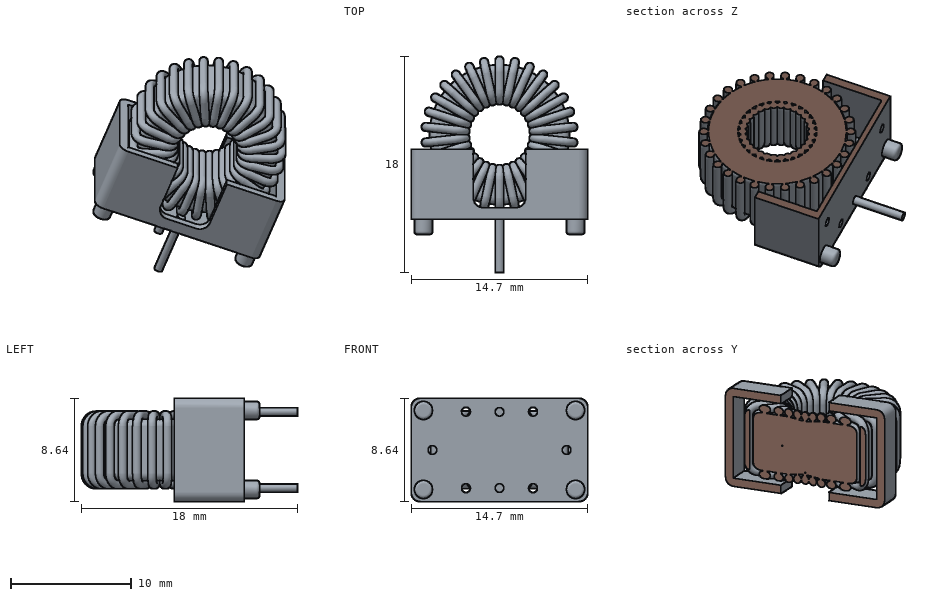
import cadquery as cq
import math

HEADER_WIDTH = 14.732
HEADER_DEPTH = 5.842
HEADER_HEIGHT = 8.636
WALL = 0.762
FLOOR = 0.508
CORNER_RADIUS = 0.762

WINDOW_WIDTH = 4.4
WINDOW_BOTTOM = 0.965
WINDOW_RADIUS = 0.889

FOOT_DIAMETER = 1.524
FOOT_LENGTH = 1.27
FOOT_FILLET = 0.254
FOOT_X = 6.335
FOOT_Z = 3.29

WIRE_DIAMETER = 0.724
PIN_LENGTH = 4.445
PIN_Z = 3.175
SIDE_HOLE_X = 5.588
CORNER_HOLE_X = SIDE_HOLE_X / 2

TURNS = 30
COIL_OUTER_RADIUS = 6.54
COIL_INNER_RADIUS = 2.48
COIL_HALF_HEIGHT = 3.25
BEND_OUTER_RADIUS = 1.27
COIL_CENTER_Y = FLOOR + COIL_OUTER_RADIUS

CORE_BITE = 0.02

WIRE_RADIUS = WIRE_DIAMETER / 2
BEND_RADIUS = BEND_OUTER_RADIUS - WIRE_RADIUS
CORE_GAP = WIRE_DIAMETER - CORE_BITE
CORE_OUTER_RADIUS = COIL_OUTER_RADIUS - CORE_GAP
CORE_INNER_RADIUS = COIL_INNER_RADIUS + CORE_GAP
CORE_HEIGHT = 2 * (COIL_HALF_HEIGHT - CORE_GAP)
CORE_FILLET = BEND_OUTER_RADIUS - CORE_GAP


def rod(x, z, diameter, y_start, y_end):
    """Round bar parallel to Y."""
    base = cq.Plane(origin=(x, y_start, z), xDir=(1, 0, 0), normal=(0, 1, 0))
    return cq.Workplane(base).circle(diameter / 2).extrude(y_end - y_start)


def header_block(width, height, y_start):
    """Block from y_start up to the open end of the header."""
    depth = HEADER_DEPTH - y_start
    return cq.Workplane("XY").box(width, depth, height).translate((0, y_start + depth / 2, 0))


def window():
    """U-shaped cutter, rounded at its bottom corners."""
    cutter = header_block(WINDOW_WIDTH, HEADER_HEIGHT, WINDOW_BOTTOM)
    return cutter.edges("|Z and <Y").fillet(WINDOW_RADIUS)


def foot(x, z):
    """Round foot with its lower rim rounded over."""
    return rod(x, z, FOOT_DIAMETER, -FOOT_LENGTH, 0).faces("<Y").edges().fillet(FOOT_FILLET)


def header():
    """Hollow header with its window, wire holes and feet."""
    body = header_block(HEADER_WIDTH, HEADER_HEIGHT, 0).edges("|Y").fillet(CORNER_RADIUS)
    cavity = header_block(HEADER_WIDTH - 2 * WALL, HEADER_HEIGHT - 2 * WALL, FLOOR)
    body = body.cut(cavity).cut(window())

    hole_places = [(-SIDE_HOLE_X, 0), (SIDE_HOLE_X, 0)]
    for x in (-CORNER_HOLE_X, CORNER_HOLE_X):
        for z in (-PIN_Z, PIN_Z):
            hole_places.append((x, z))
    for x, z in hole_places:
        body = body.cut(rod(x, z, WIRE_DIAMETER, 0, FLOOR))

    for x in (-FOOT_X, FOOT_X):
        for z in (-FOOT_Z, FOOT_Z):
            body = body.union(foot(x, z))
    return body


def wire_turn():
    """One closed rounded-rectangle turn in the YZ plane, on the +Y side of the coil axis."""
    outer = COIL_OUTER_RADIUS - WIRE_RADIUS
    inner = COIL_INNER_RADIUS + WIRE_RADIUS
    half_height = COIL_HALF_HEIGHT - WIRE_RADIUS
    middle = (outer + inner) / 2
    frame = cq.Workplane("YZ").center(middle, 0).rect(outer - inner, 2 * half_height)
    path = frame.val().fillet2D(BEND_RADIUS, frame.vertices().vals())
    start = cq.Workplane("XY").center(0, outer).circle(WIRE_RADIUS)
    return start.sweep(cq.Workplane("YZ").add(path))


def core():
    """Ring core with rounded rims that follow the bends of the wire."""
    ring = cq.Workplane("XY").circle(CORE_OUTER_RADIUS).circle(CORE_INNER_RADIUS).extrude(CORE_HEIGHT)
    return ring.edges().fillet(CORE_FILLET).translate((0, 0, -CORE_HEIGHT / 2))


def sector():
    """Wedge about the coil axis that holds one turn, centred on +Y."""
    half_width = COIL_OUTER_RADIUS * math.tan(math.pi / TURNS)
    corners = [(0, 0), (half_width, COIL_OUTER_RADIUS), (-half_width, COIL_OUTER_RADIUS)]
    wedge = cq.Workplane("XY").polyline(corners).close()
    return wedge.extrude(COIL_HALF_HEIGHT, both=True)


def coil():
    """Core and turns, built as one wedge that repeats around the axis."""
    wedge = core().union(wire_turn()).intersect(sector()).val()
    axis_start = cq.Vector(0, 0, 0)
    axis_end = cq.Vector(0, 0, 1)
    wedges = [wedge.rotate(axis_start, axis_end, turn * 360 / TURNS) for turn in range(TURNS)]
    ring = wedges[0].fuse(*wedges[1:], glue=True).clean()
    return cq.Workplane(ring).translate((0, COIL_CENTER_Y, 0))


def pins():
    """Two straight leads that run through the floor into the lowest turn of the coil."""
    lower = rod(0, -PIN_Z, WIRE_DIAMETER, -PIN_LENGTH, WINDOW_BOTTOM)
    upper = rod(0, PIN_Z, WIRE_DIAMETER, -PIN_LENGTH, WINDOW_BOTTOM)
    return lower.union(upper)


result = header().union(pins()).union(coil())